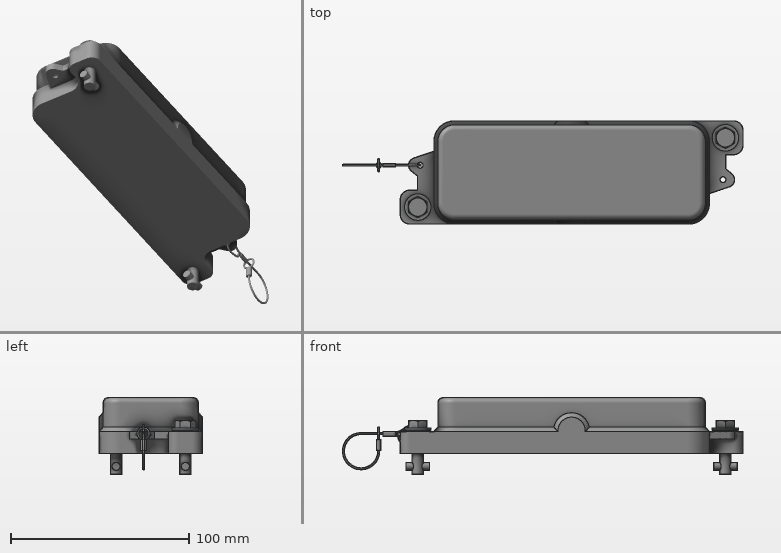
import cadquery as cq
import math


cover_length = 154.8
cover_width = 58.0
cover_height = 31.5
cover_corner_radius = 11.7
flange_height = 12.4
shoulder_height = 2.5
shoulder_inset = 2.2
top_edge_radius = 3.2

bump_face_radius = 7.6
bump_root_radius = 10.1
bump_axis_height = 12.8

ear_end = 96.3
ear_width = 19.1
ear_corner_radius = 5.5
ear_root_radius = 8.3
tab_thickness = 4.0
tab_edge_x = 86.6
tab_notch_y = 2.0
tab_tip_radius = 4.3
tab_tip_x = 91.5
tab_root_y = 12.0
tab_lower_angle = 45
tab_upper_angle = 21
tab_hole_x = 85.0
tab_hole_y = 4.0
tab_hole_diameter = 3.2

bolt_x = 86.5
bolt_collar_height = 2.0
bolt_collar_radius = 7.5
bolt_collar_chamfer = 1.0
bolt_head_flats = 10.4
bolt_head_height = 4.3
bolt_head_turn = 30
bolt_head_chamfer = 0.7
shank_diameter = 6.5
shank_length = 11.7
cross_pin_diameter = 4.5
cross_pin_length = 13.3
cross_pin_depth = 7.2

cable_diameter = 1.1
cable_height = 11.2
loop_left_end = -128.7
loop_radius = 10.0
ring_radius = 3.2
clamp_length = 6.0
clamp_thickness = 2.5
clamp_width = 3.4
clamp_top = 7.9
sleeve_start_x = -106.0
sleeve_end_x = -99.0
sleeve_thickness = 1.8
sleeve_depth = 3.0
sleeve_drop = 0.2
strand_offset = 0.7

above_tab = (-91.8, 15.0)
above_hole = (-86.8, 15.3)
below_hole = (-86.6, 5.8)
below_tab = (-92.2, 5.8)
below_nose = (-96.8, 8.0)

half_length = cover_length / 2
half_width = cover_width / 2
ear_inner_y = ear_width - half_width
bolt_y = ear_width / 2 - half_width
shoulder_top = flange_height + shoulder_height
cable_radius = cable_diameter / 2
sleeve_height = cable_height - sleeve_drop
loop_center_x = loop_left_end + cable_radius + loop_radius
loop_center_z = cable_height - loop_radius
loop_right_x = loop_center_x + loop_radius


def rounded_block(inset, height):
    """Block with the cover's rounded-rectangle outline, moved inwards by `inset`, standing on Z = 0."""
    return (
        cq.Workplane("XY")
        .rect(cover_length - 2 * inset, cover_width - 2 * inset)
        .extrude(height)
        .edges("|Z")
        .fillet(cover_corner_radius - inset)
    )


def make_shell():
    """Flange, sloped shoulder and raised top with a rounded upper edge."""
    shoulder = (
        rounded_block(0, shoulder_top)
        .faces(">Z")
        .edges()
        .chamfer(shoulder_height, shoulder_inset)
    )
    raised_top = rounded_block(shoulder_inset, cover_height).faces(">Z").edges().fillet(top_edge_radius)
    return shoulder.union(raised_top)


def make_bumps():
    """Coaxial cones that widen from the long side faces in to the raised top."""
    profile = [
        (0, half_width),
        (bump_face_radius, half_width),
        (bump_root_radius, half_width - shoulder_inset),
        (bump_root_radius, shoulder_inset - half_width),
        (bump_face_radius, -half_width),
        (0, -half_width),
    ]
    cones = cq.Workplane("XY").polyline(profile).close().revolve(360, (0, 0, 0), (0, 1, 0))
    return cones.translate((0, 0, bump_axis_height))


def make_ear():
    """Full-height bolt ear at the -X end, blended into the end wall below the tab."""
    inner_x = cover_corner_radius - half_length
    ear = (
        cq.Workplane("XY")
        .moveTo(-ear_end, -half_width)
        .lineTo(inner_x, -half_width)
        .lineTo(inner_x, ear_inner_y)
        .lineTo(-ear_end, ear_inner_y)
        .close()
        .extrude(flange_height)
        .edges("|Z and <X")
        .fillet(ear_corner_radius)
    )
    root_blend = (
        cq.Workplane("XY")
        .moveTo(-half_length, ear_inner_y)
        .lineTo(-half_length, ear_inner_y + ear_root_radius)
        .radiusArc((-half_length - ear_root_radius, ear_inner_y), ear_root_radius)
        .close()
        .extrude(flange_height - tab_thickness)
    )
    return ear.union(root_blend)


def make_tab():
    """Thin round-nosed plate at the -X end, level with the top of the flange."""
    nose_x = tab_tip_radius - tab_tip_x
    lower = math.radians(tab_lower_angle)
    upper = math.radians(tab_upper_angle)
    lower_tangent = (
        nose_x - tab_tip_radius * math.sin(lower),
        tab_hole_y - tab_tip_radius * math.cos(lower),
    )
    upper_tangent = (
        nose_x - tab_tip_radius * math.sin(upper),
        tab_hole_y + tab_tip_radius * math.cos(upper),
    )
    return (
        cq.Workplane("XY")
        .workplane(offset=flange_height - tab_thickness)
        .moveTo(-half_length, ear_inner_y)
        .lineTo(-tab_edge_x, ear_inner_y)
        .lineTo(-tab_edge_x, -tab_notch_y)
        .lineTo(*lower_tangent)
        .threePointArc((-tab_tip_x, tab_hole_y), upper_tangent)
        .lineTo(-half_length, tab_root_y)
        .close()
        .extrude(tab_thickness)
        .moveTo(-tab_hole_x, tab_hole_y)
        .circle(tab_hole_diameter / 2)
        .cutThruAll()
    )


def make_bolt():
    """Hexagon bolt with a chamfered collar, a plain shank and a cross pin, on the -X ear."""
    collar = (
        cq.Workplane("XY")
        .workplane(offset=flange_height)
        .circle(bolt_collar_radius)
        .extrude(bolt_collar_height)
        .faces("<Z")
        .chamfer(bolt_collar_chamfer)
    )
    head_across_corners = bolt_head_flats / math.cos(math.pi / 6)
    head_bottom = flange_height + bolt_collar_height
    head = (
        cq.Workplane("XY")
        .workplane(offset=head_bottom)
        .polygon(6, head_across_corners)
        .extrude(bolt_head_height)
        .rotate((0, 0, 0), (0, 0, 1), bolt_head_turn)
    )
    head_corner_cut = (
        cq.Workplane("XY")
        .workplane(offset=head_bottom)
        .circle(head_across_corners / 2)
        .extrude(bolt_head_height)
        .faces(">Z")
        .chamfer(bolt_head_chamfer, (head_across_corners - bolt_head_flats) / 2)
    )
    shank = (
        cq.Workplane("XY")
        .workplane(offset=-shank_length)
        .circle(shank_diameter / 2)
        .extrude(shank_length + flange_height)
    )
    cross_pin = (
        cq.Workplane("YZ")
        .center(0, -cross_pin_depth)
        .circle(cross_pin_diameter / 2)
        .extrude(cross_pin_length / 2, both=True)
    )
    bolt = shank.union(cross_pin).union(collar).union(head.intersect(head_corner_cut))
    return bolt.translate((-bolt_x, bolt_y, 0))


def make_cover():
    """Complete cover: the shell with its bumps, and an ear, tab and bolt at both ends."""
    end_fittings = make_ear().union(make_tab()).union(make_bolt())
    cover = make_shell().union(make_bumps())
    for turn in (0, 180):
        cover = cover.union(end_fittings.rotate((0, 0, 0), (0, 0, 1), turn))
    return cover


def cable_plane():
    """Upright plane through the tab hole, in which the whole cable lies."""
    return cq.Workplane("XZ", origin=(0, tab_hole_y, 0))


def make_big_loop():
    """Cable from the sleeve, around a three-quarter circle and up into the clamp."""
    loop_bottom_z = loop_center_z - loop_radius
    diagonal_offset = loop_radius * math.sin(math.pi / 4)
    path = (
        cable_plane()
        .moveTo(sleeve_start_x, cable_height)
        .lineTo(loop_center_x, cable_height)
        .threePointArc((loop_center_x - loop_radius, loop_center_z), (loop_center_x, loop_bottom_z))
        .threePointArc(
            (loop_center_x + diagonal_offset, loop_center_z - diagonal_offset),
            (loop_right_x, loop_center_z),
        )
        .lineTo(loop_right_x, clamp_top - clamp_length / 2)
    )
    return (
        cq.Workplane("YZ", origin=(sleeve_start_x, tab_hole_y, cable_height))
        .circle(cable_radius)
        .sweep(path)
    )


def make_ring():
    """Ring of cable, square to the straight stretch that runs through it."""
    return cq.Workplane(
        cq.Solid.makeTorus(
            ring_radius,
            cable_radius,
            cq.Vector(loop_right_x, tab_hole_y, cable_height),
            cq.Vector(1, 0, 0),
        )
    )


def make_clamp():
    """Upright oval clamp that joins the ring to the end of the big loop."""
    return (
        cq.Workplane("XY", origin=(loop_right_x, tab_hole_y, clamp_top - clamp_length))
        .slot2D(clamp_width, clamp_thickness, 90)
        .extrude(clamp_length)
    )


def make_sleeve():
    """Level oval sleeve that holds both strands of the eye."""
    return (
        cq.Workplane("YZ", origin=(sleeve_start_x, tab_hole_y, sleeve_height))
        .slot2D(sleeve_depth, sleeve_thickness, 90)
        .extrude(sleeve_end_x - sleeve_start_x)
    )


def make_eye():
    """Cable from the sleeve, over the tab, down through its hole and back underneath."""
    strand_start_x = sleeve_end_x - strand_offset
    upper_start = (strand_start_x, sleeve_height + strand_offset)
    lower_end = (strand_start_x, sleeve_height - strand_offset)
    hole_middle = (-tab_hole_x, flange_height - tab_thickness / 2)
    path = cable_plane().spline(
        [upper_start, above_tab, above_hole, hole_middle, below_hole, below_tab, below_nose, lower_end],
        tangents=[(1, 0), (-1, 0)],
    )
    return (
        cq.Workplane("YZ", origin=(upper_start[0], tab_hole_y, upper_start[1]))
        .circle(cable_radius)
        .sweep(path)
    )


def make_lanyard():
    """One continuous cable lanyard, threaded through the tab hole."""
    lanyard = make_big_loop().union(make_clamp()).union(make_ring())
    return lanyard.union(make_sleeve()).union(make_eye())


cover = make_cover()
lanyard = make_lanyard()
result = cq.Compound.makeCompound([cover.solids().val(), lanyard.solids().val()])